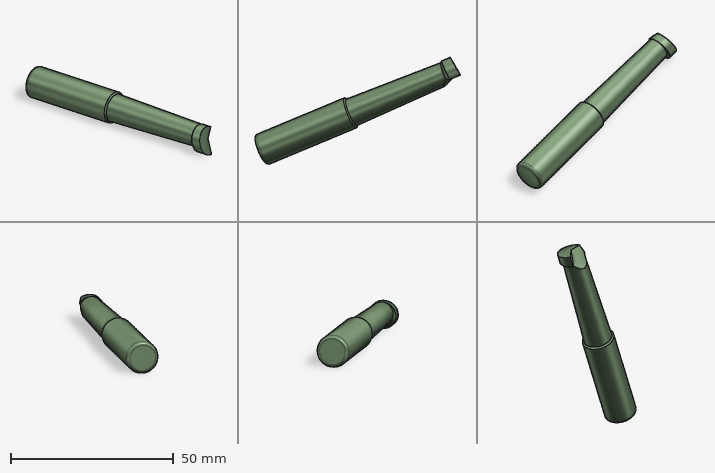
import cadquery as cq

length = 68.0
shank_diameter = 10.0
shank_length = 30.95
shank_end_fillet = 0.95
shoulder_length = 0.4
neck_start_radius = 4.4
neck_end_radius = 3.6
neck_end = 63.0
face_setback = 2.3
flute_x_slope = 1.1
flute_y_slope = 1.5

shank_radius = shank_diameter / 2

head_radius = (neck_end_radius + shank_radius) / 2
head_center_z = (neck_end_radius - shank_radius) / 2
margin = 3.4


def make_shank_and_neck():
    shoulder_start = shank_length - shoulder_length
    profile = (
        cq.Workplane("XZ")
        .moveTo(0, 0)
        .lineTo(0, shank_radius - shank_end_fillet)
        .radiusArc((shank_end_fillet, shank_radius), shank_end_fillet)
        .lineTo(shoulder_start, shank_radius)
        .lineTo(shank_length, neck_start_radius)
        .lineTo(neck_end, neck_end_radius)
        .lineTo(neck_end, 0)
        .close()
    )
    return profile.revolve(360, (0, 0, 0), (1, 0, 0))


def make_head():
    """Eccentric cylinder with a 45 degree conical back and a leaning end face."""
    cylinder = (
        cq.Workplane("YZ", origin=(neck_end, 0, head_center_z))
        .circle(head_radius)
        .extrude(length - neck_end)
    )
    flare_length = length - neck_end
    flare = (
        cq.Workplane("XZ")
        .moveTo(neck_end, 0)
        .lineTo(neck_end, neck_end_radius)
        .lineTo(length, neck_end_radius + flare_length)
        .lineTo(length, 0)
        .close()
        .revolve(360, (0, 0, 0), (1, 0, 0))
    )
    side_outline = (
        cq.Workplane("XZ")
        .moveTo(neck_end, -shank_radius)
        .lineTo(length, -shank_radius)
        .lineTo(length - face_setback, neck_end_radius)
        .lineTo(neck_end, neck_end_radius)
        .close()
        .extrude(head_radius + margin, both=True)
    )
    return cylinder.intersect(flare).intersect(side_outline)


def make_flute():
    """Chip space on the +Y side: a wall at Y = 0 under a floor sloping in X and Y."""
    face_lean = face_setback / (neck_end_radius + shank_radius)
    floor_x = length - face_lean * shank_radius
    floor = cq.Plane(
        origin=(floor_x, 0, 0),
        xDir=(1, 0, flute_x_slope),
        normal=(-flute_x_slope, -flute_y_slope, 1),
    )
    reach = 4 * shank_radius
    below_floor = cq.Workplane(floor).rect(2 * reach, 2 * reach).extrude(-reach)
    beyond_wall = cq.Workplane("XY").box(2 * reach, reach, 2 * reach, centered=(True, False, True))
    return below_floor.intersect(beyond_wall.translate((floor_x, 0, 0)))


result = make_shank_and_neck().union(make_head()).cut(make_flute())